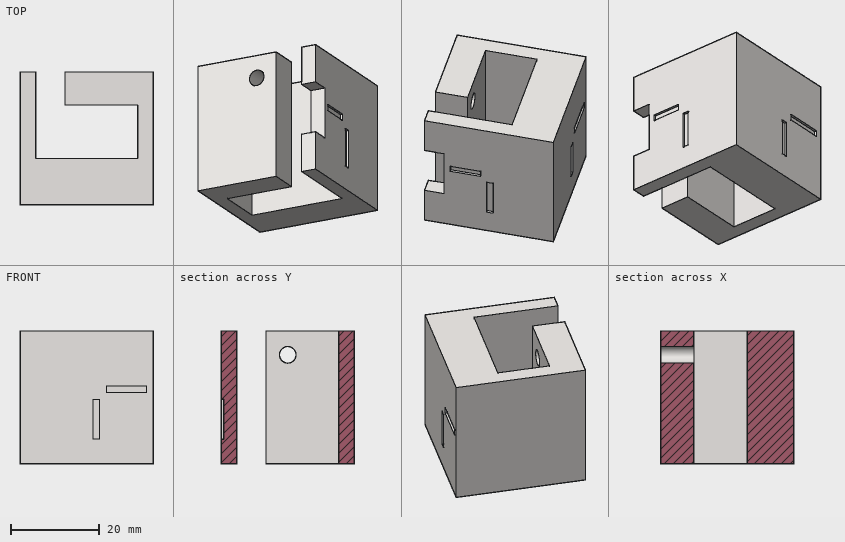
import cadquery as cq

side = 30.0

wall = 3.55
well_front = 10.5
well_back = 22.5
mouth_end = 10.05

notch_depth = 4.5
notch_height = 12.0

hole_diameter = 3.7
hole_x = side / 2
hole_z = 24.6

mark_width = 1.5
mark_length = 9.0
mark_depth = 0.55
level_mark_bottom = 16.05
upright_mark_bottom = 5.58
front_level_start = 19.45
front_upright_start = 16.38
left_level_start = 16.95
left_level_length = 7.05
left_upright_start = 14.05


def block(x, y, z, length, width, height):
    """Box with its lowest corner at (x, y, z)."""
    return cq.Workplane("XY").box(length, width, height, centered=False).translate((x, y, z))


def front_mark(x, z, length, height):
    """Recess in the front face."""
    return block(x, 0, z, length, mark_depth, height)


def left_mark(y, z, length, height):
    """Recess in the left face."""
    return block(0, y, z, mark_depth, length, height)


well = block(wall, well_front, 0, side - 2 * wall, well_back - well_front, side)
mouth = block(wall, well_front, 0, mouth_end - wall, side - well_front, side)
notch = block(0, side - notch_depth, (side - notch_height) / 2, wall, notch_depth, notch_height)
screw_hole = (
    cq.Workplane("XZ", origin=(hole_x, side, hole_z))
    .circle(hole_diameter / 2)
    .extrude(side - well_back)
)

result = block(0, 0, 0, side, side, side).cut(well).cut(mouth).cut(notch).cut(screw_hole)
result = result.cut(front_mark(front_level_start, level_mark_bottom, mark_length, mark_width))
result = result.cut(front_mark(front_upright_start, upright_mark_bottom, mark_width, mark_length))
result = result.cut(left_mark(left_level_start, level_mark_bottom, left_level_length, mark_width))
result = result.cut(left_mark(left_upright_start, upright_mark_bottom, mark_width, mark_length))